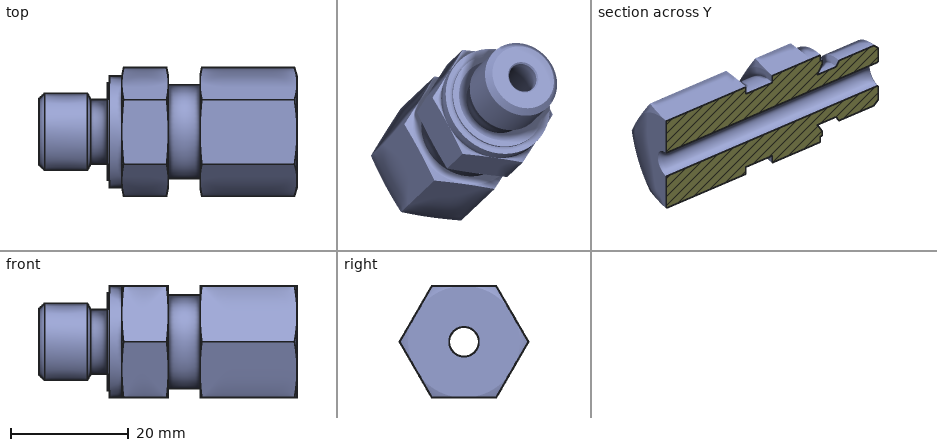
import cadquery as cq
import math

total_length = 43.9
across_flats = 19.0
across_corners = across_flats / math.cos(math.radians(30))
bore_radius = 2.5
bore_chamfer = 0.25

thread_radius = 6.58
lead_face_radius = 5.6
lead_chamfer_length = 1.0
thread_end = 8.2
neck_radius = 5.5
runout_angle = 30
runout_length = (thread_radius - neck_radius) * math.tan(math.radians(runout_angle))

lip_radius = 8.3
lip_start = 11.65
collar_start = 12.0
collar_radius = across_flats / 2
recess_mouth_radius = 7.2
recess_angle = 60
recess_depth = (recess_mouth_radius - neck_radius) / math.tan(math.radians(recess_angle))
recess_corner_x = lip_start + recess_depth

body_hex_start = 14.1
body_hex_end = 22.0
shank_radius = 8.0
nut_start = 27.4
body_chamfer_depth = 0.3
nut_front_chamfer_depth = 0.3
nut_rear_chamfer_depth = 0.45


def revolve_about_x(profile):
    """Solid of revolution about the X axis from (x, radius) points."""
    return cq.Workplane("XY").polyline(profile).close().revolve(360, (0, 0, 0), (1, 0, 0))


def make_turned_body():
    """Revolve the stud, neck, conical recess, lip, collar and shank."""
    profile = [
        (0, 0),
        (0, lead_face_radius),
        (lead_chamfer_length, thread_radius),
        (thread_end, thread_radius),
        (thread_end + runout_length, neck_radius),
        (recess_corner_x, neck_radius),
        (lip_start, recess_mouth_radius),
        (lip_start, lip_radius),
        (collar_start, lip_radius),
        (collar_start, collar_radius),
        (body_hex_start, collar_radius),
        (body_hex_start, shank_radius),
        (nut_start, shank_radius),
        (nut_start, 0),
    ]
    return revolve_about_x(profile)


def make_hexagon(start, end, start_chamfer, end_chamfer):
    """Hexagonal prism with its corners turned down to the inscribed circle at both ends."""
    prism = (
        cq.Workplane("YZ", origin=(start, 0, 0))
        .polygon(6, across_corners)
        .extrude(end - start)
    )
    flat_radius = across_flats / 2
    corner_radius = across_corners / 2
    envelope_profile = [
        (start, 0),
        (start, flat_radius),
        (start + start_chamfer, corner_radius),
        (end - end_chamfer, corner_radius),
        (end, flat_radius),
        (end, 0),
    ]
    envelope = revolve_about_x(envelope_profile)
    return prism.intersect(envelope)


def make_bore():
    """Through bore with a small chamfer at the stud end."""
    profile = [
        (0, 0),
        (0, bore_radius + bore_chamfer),
        (bore_chamfer, bore_radius),
        (total_length, bore_radius),
        (total_length, 0),
    ]
    return revolve_about_x(profile)


body_hexagon = make_hexagon(body_hex_start, body_hex_end, body_chamfer_depth, body_chamfer_depth)
nut = make_hexagon(nut_start, total_length, nut_front_chamfer_depth, nut_rear_chamfer_depth)
result = make_turned_body().union(body_hexagon).union(nut).cut(make_bore())